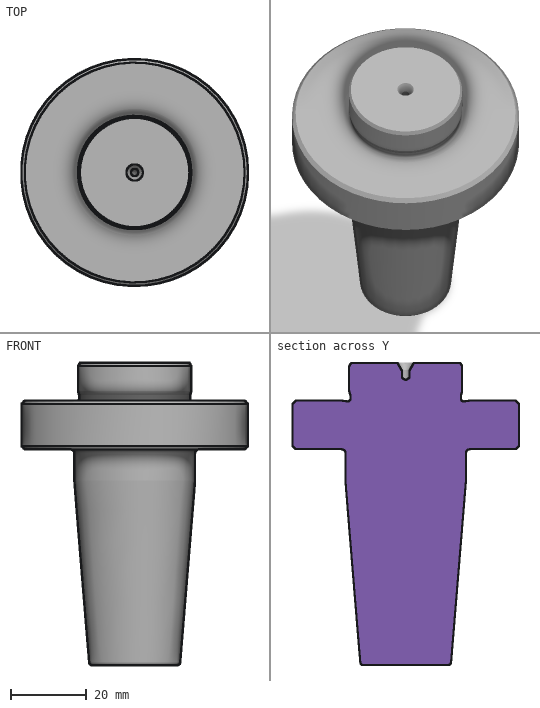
import cadquery as cq
import math

total_height = 80
pilot_height = 10.0
flange_thickness = 13.0
straight_shank_height = 8.2
edge_break = 1.0

pilot_radius = 30.0 / 2
flange_radius = 60 / 2
shank_radius = 32 / 2
shank_end_radius = 12.1
shank_fillet = 1.0

flange_top = total_height - pilot_height
flange_bottom = flange_top - flange_thickness
taper_top = flange_bottom - straight_shank_height

pilot_chamfer_angle = math.radians(30)

relief_length = 2.5
relief_depth = 0.3
relief_face_depth = 0.2
relief_radius = 0.6
relief_run_in_angle = math.radians(15)
relief_face_angle = math.radians(8)

centre_mouth_radius = 2.2
centre_bore_radius = 1.0
centre_depth = 4.0
centre_half_angle = math.radians(30)
drill_tip_half_angle = math.radians(60)


def revolve_profile(profile):
    """Turn a closed (radius, height) profile about the Z axis."""
    return profile.close().revolve(360, (0, 0, 0), (0, 1, 0))


def make_shank():
    taper_angle = math.atan2(shank_radius - shank_end_radius, taper_top - edge_break)
    tip_radius = shank_end_radius - edge_break * math.tan(taper_angle)
    shank = revolve_profile(
        cq.Workplane("XZ")
        .lineTo(tip_radius, 0)
        .lineTo(shank_radius, taper_top)
        .lineTo(shank_radius, flange_bottom)
        .lineTo(0, flange_bottom)
    )
    return shank.faces("<Z").edges().fillet(edge_break)


def make_shank_fillet():
    """Concave ring that blends the shank into the underside of the flange."""
    fillet_low = flange_bottom - shank_fillet
    bulge = shank_fillet * (1 - math.sqrt(0.5))
    return revolve_profile(
        cq.Workplane("XZ")
        .moveTo(0, fillet_low)
        .lineTo(shank_radius, fillet_low)
        .threePointArc(
            (shank_radius + bulge, flange_bottom - bulge),
            (shank_radius + shank_fillet, flange_bottom),
        )
        .lineTo(0, flange_bottom)
    )


def make_flange():
    base = cq.Workplane("XY").workplane(offset=flange_bottom)
    flange = base.circle(flange_radius).extrude(flange_thickness)
    return flange.faces("<Z or >Z").edges().chamfer(edge_break)


def make_pilot():
    chamfer_width = edge_break * math.tan(pilot_chamfer_angle)
    base = cq.Workplane("XY").workplane(offset=flange_top)
    pilot = base.circle(pilot_radius).extrude(pilot_height)
    ring = revolve_profile(
        cq.Workplane("XZ")
        .moveTo(pilot_radius, total_height - edge_break)
        .lineTo(pilot_radius, total_height)
        .lineTo(pilot_radius - chamfer_width, total_height)
    )
    return pilot.cut(ring)


def make_relief():
    """Ring removed from the corner: sloped run-in, neck, round corner, sloped face."""
    neck_radius = pilot_radius - relief_depth
    run_in_top = flange_top + relief_length
    neck_top = run_in_top - relief_depth / math.tan(relief_run_in_angle)
    arc_radius_at = neck_radius + relief_radius
    arc_height_at = flange_top - relief_face_depth + relief_radius

    def on_arc(angle):
        return (
            arc_radius_at - relief_radius * math.cos(angle),
            arc_height_at - relief_radius * math.sin(angle),
        )

    arc_sweep = math.pi / 2 + relief_face_angle
    arc_end = on_arc(arc_sweep)
    face_edge_radius = arc_end[0] + (flange_top - arc_end[1]) / math.tan(relief_face_angle)
    return revolve_profile(
        cq.Workplane("XZ")
        .moveTo(pilot_radius, run_in_top)
        .lineTo(neck_radius, neck_top)
        .lineTo(neck_radius, arc_height_at)
        .threePointArc(on_arc(arc_sweep / 2), arc_end)
        .lineTo(face_edge_radius, flange_top)
        .lineTo(pilot_radius, flange_top)
    )


def make_centre_hole():
    cone_depth = (centre_mouth_radius - centre_bore_radius) / math.tan(centre_half_angle)
    bore_end = total_height - centre_depth
    tip_length = centre_bore_radius / math.tan(drill_tip_half_angle)
    return revolve_profile(
        cq.Workplane("XZ")
        .moveTo(0, total_height)
        .lineTo(centre_mouth_radius, total_height)
        .lineTo(centre_bore_radius, total_height - cone_depth)
        .lineTo(centre_bore_radius, bore_end)
        .lineTo(0, bore_end - tip_length)
    )


body = make_shank().union(make_shank_fillet()).union(make_flange()).union(make_pilot())
result = body.cut(make_relief()).cut(make_centre_hole())